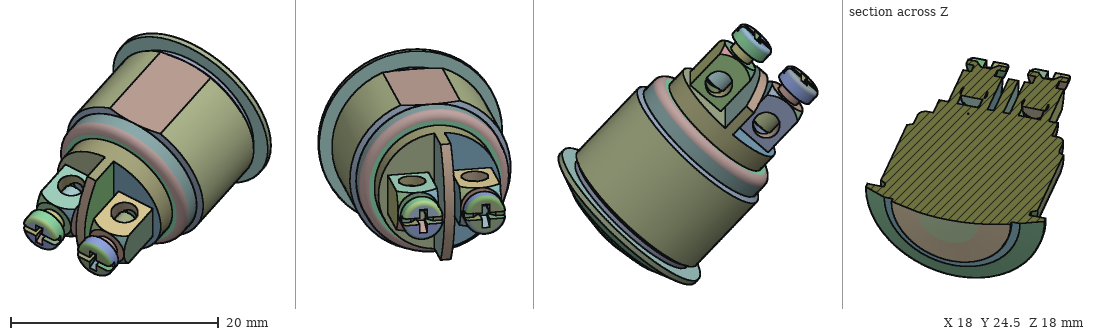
import cadquery as cq
import math


button_radius = 6.0
button_rise = 1.93
dome_height = 1.08
cap_radius = 3.04
cap_height = 0.27
flange_diameter = 18.0
flange_radius = flange_diameter / 2
flange_top_radius = 6.83
flange_rim = 0.56
flange_height = 1.55

barrel_radius = 7.35
barrel_length = 12.0
barrel_fillet = 0.83
base_radius = button_radius
base_end = 13.98

nut_radius = 7.9
nut_start = 0.5
nut_end = 9.82
nut_flat_height = barrel_radius
nut_bevel_angle = 30.0
nut_face_radius = 7.37

divider_width = 1.0
divider_length = 4.97
divider_side_length = 3.01

block_size = 4.0
block_length = divider_length
block_offset = 3.09
block_corner_bevel = 0.75
wire_hole_diameter = 2.6
wire_hole_depth = 1.93

shank_diameter = 2.4
thread_core_diameter = 2.1
head_diameter = block_size
head_height = 1.52
head_fillet = 0.42
head_back_fillet = 0.15
screw_length = 6.17
left_screw_end = 21.48
right_screw_lift = 0.12
slot_width = 0.69
slot_depth = 0.78
cross_width = 0.73
cross_upright_reach = 1.2
cross_level_reach = 1.1
cross_floor_reach = 0.5
cross_depth = 1.47


def cylinder_back(radius, start, length, x=0.0):
    """Cylinder along -Y that starts at depth `start` behind the flange."""
    plane = cq.Workplane("XZ", origin=(x, -start, 0))
    return plane.circle(radius).extrude(length)


def make_button_and_flange():
    top = button_rise + dome_height
    cap_curve_radius = (cap_radius**2 + cap_height**2) / (2 * cap_height)
    mid_radius = cap_radius / 2
    mid_height = top - cap_curve_radius + math.sqrt(cap_curve_radius**2 - mid_radius**2)
    profile = (
        cq.Workplane("XY")
        .lineTo(flange_radius, 0)
        .lineTo(flange_radius, flange_rim)
        .lineTo(flange_top_radius, flange_height)
        .lineTo(button_radius, flange_height)
        .lineTo(button_radius, button_rise)
        .lineTo(cap_radius, top - cap_height)
        .threePointArc((mid_radius, mid_height), (0, top))
        .close()
    )
    return profile.revolve(360, (0, 0, 0), (0, 1, 0))


def make_barrel():
    barrel = cylinder_back(barrel_radius, 0, barrel_length).faces("<Y").edges().fillet(barrel_fillet)
    return barrel.union(cylinder_back(base_radius, 0, base_end))


def make_nut():
    bevel = (nut_radius - nut_face_radius) * math.tan(math.radians(nut_bevel_angle))
    profile = (
        cq.Workplane("XY")
        .moveTo(0, -nut_start)
        .lineTo(nut_face_radius, -nut_start)
        .lineTo(nut_radius, -nut_start - bevel)
        .lineTo(nut_radius, -nut_end + bevel)
        .lineTo(nut_face_radius, -nut_end)
        .lineTo(0, -nut_end)
        .close()
    )
    nut = profile.revolve(360, (0, 0, 0), (0, 1, 0))
    above_flat = cq.Workplane("XY", origin=(0, -nut_end, nut_flat_height)).box(
        2 * nut_radius, nut_end, nut_radius, centered=(True, False, False)
    )
    return nut.cut(above_flat)


def make_divider():
    """Plate with a crowned outer edge, trimmed to the round base."""
    plate = (
        cq.Workplane("YZ")
        .moveTo(-base_end, -base_radius)
        .lineTo(-base_end - divider_side_length, -base_radius)
        .threePointArc((-base_end - divider_length, 0), (-base_end - divider_side_length, base_radius))
        .lineTo(-base_end, base_radius)
        .close()
        .extrude(divider_width / 2, both=True)
    )
    return plate.intersect(cylinder_back(base_radius, base_end, divider_length))


def make_block(x):
    """Square terminal block, outer corners turned to a sphere, with wire and screw holes."""
    half = block_size / 2
    corner = half * math.sqrt(2)
    center_depth = (corner**2 - half**2 + block_corner_bevel**2) / (2 * block_corner_bevel)
    sphere_radius = math.hypot(half, center_depth)
    mid = (half + corner) / 2
    mid_y = center_depth - block_length - math.sqrt(sphere_radius**2 - mid**2)
    block = cq.Workplane("XZ", origin=(x, -base_end, 0)).rect(block_size, block_size).extrude(block_length)
    envelope = (
        cq.Workplane("XY", origin=(x, -base_end, 0))
        .lineTo(corner, 0)
        .lineTo(corner, block_corner_bevel - block_length)
        .threePointArc((mid, mid_y), (half, -block_length))
        .lineTo(0, -block_length)
        .close()
        .revolve(360, (0, 0, 0), (0, 1, 0))
    )
    wire_hole = (
        cq.Workplane("XY", origin=(x, -base_end - wire_hole_depth, 0))
        .circle(wire_hole_diameter / 2)
        .extrude(block_size, both=True)
    )
    thread_core = cylinder_back(thread_core_diameter / 2, base_end, block_length, x)
    return block.intersect(envelope).cut(wire_hole).cut(thread_core)


def cross_arm(x, head_end, start_depth, reach, width):
    """Tapered bar of the cross recess along X, starting `start_depth` below the head face."""
    height = cross_depth - start_depth
    return (
        cq.Workplane("XY", origin=(x, start_depth - head_end, 0))
        .moveTo(-reach, 0)
        .lineTo(reach, 0)
        .lineTo(cross_floor_reach, height)
        .lineTo(-cross_floor_reach, height)
        .close()
        .extrude(width / 2, both=True)
    )


def make_screw(x, end):
    """Screw whose head face is at depth `end`, with a slot and a cross recess."""
    head = cylinder_back(head_diameter / 2, end - head_height, head_height, x)
    head = head.faces("<Y").edges().fillet(head_fillet)
    head = head.faces(">Y").edges().fillet(head_back_fillet)
    shank = cylinder_back(shank_diameter / 2, end - screw_length, screw_length - head_height, x)
    slot = cq.Workplane("XY", origin=(x, -end, 0)).box(head_diameter, 2 * slot_depth, slot_width)
    level_arm = cross_arm(x, end, slot_depth, cross_level_reach, slot_width)
    upright_arm = cross_arm(x, end, 0, cross_upright_reach, cross_width)
    upright_arm = upright_arm.rotate((x, 0, 0), (x, 1, 0), 90)
    return head.union(shank).cut(slot).cut(level_arm).cut(upright_arm)


result = make_button_and_flange().union(make_barrel()).union(make_nut()).union(make_divider())
for side, screw_end in ((-1, left_screw_end), (1, left_screw_end - right_screw_lift)):
    result = result.union(make_block(side * block_offset))
    result = result.union(make_screw(side * block_offset, screw_end))